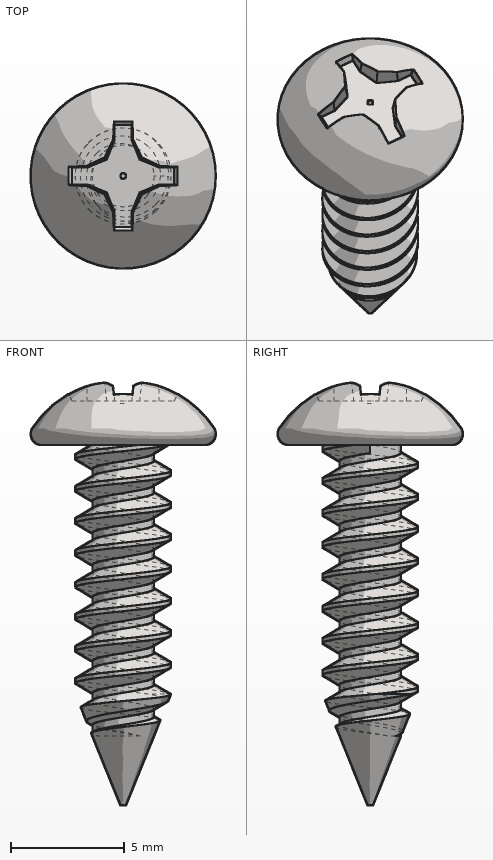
import cadquery as cq
import math

head_radius = 4.09
dome_height = 2.905
rim_edge_height = 0.73
rim_curve = 0.5

recess_floor_height = 1.95
arm_length = 2.25
arm_half_width = 0.375
arm_root = 1.59
web_corner = 0.73
arm_end_taper = math.tan(math.radians(26.5))
side_taper = math.tan(math.radians(6.0))
recess_clearance = 0.1

pip_radius = 0.125
pip_depth = 0.1

shank_length = 15.88
core_radius = 1.36
tip_radius = 0.125
point_slope = 0.405
head_overlap = 0.1

pitch = 25.4 / 18
thread_radius = 2.115
crest_width = 0.2
flank_slope = math.tan(math.radians(30.0))
first_crest_height = -1.22
turns_below_first_crest = 9
root_overlap = 0.1
envelope_clearance = 1.0


def revolved(outline):
    """Turn an outline, drawn as radius and height, about the Z axis."""
    return outline.revolve(360, (0, 0, 0), (0, 1, 0))


def make_head():
    """Domed head with a rounded rim."""
    rim_centre = head_radius - rim_curve
    edge_rise = rim_edge_height - rim_curve
    edge_radius = rim_centre + math.sqrt(rim_curve**2 - edge_rise**2)

    dome_rise = dome_height - rim_edge_height
    dome_curve = (edge_radius**2 + dome_rise**2) / (2 * dome_rise)
    middle_radius = edge_radius / 2
    middle_height = dome_height - dome_curve + math.sqrt(dome_curve**2 - middle_radius**2)

    outline = (
        cq.Workplane("XZ")
        .lineTo(rim_centre, 0)
        .threePointArc((head_radius, rim_curve), (edge_radius, rim_edge_height))
        .threePointArc((middle_radius, middle_height), (0, dome_height))
        .close()
    )
    return revolved(outline)


def recess_outline(rise):
    """Corners of the cross at a rise above the recess floor, quarter by quarter."""
    side_growth = rise * side_taper
    end = arm_length + rise * arm_end_taper
    half_width = arm_half_width + side_growth
    corner = web_corner + side_growth
    quarter = [
        (end, -half_width),
        (end, half_width),
        (arm_root, half_width),
        (corner, corner),
        (half_width, arm_root),
    ]
    points = []
    for index in range(4):
        turn = math.radians(90 * index)
        for x, y in quarter:
            turned_x = x * math.cos(turn) - y * math.sin(turn)
            turned_y = x * math.sin(turn) + y * math.cos(turn)
            points.append((turned_x, turned_y))
    return points


def make_recess():
    """Tapered cross with a flat floor and a pip at its middle."""
    depth = dome_height + recess_clearance - recess_floor_height
    cross = (
        cq.Workplane("XY", origin=(0, 0, recess_floor_height))
        .polyline(recess_outline(0))
        .close()
        .workplane(offset=depth)
        .polyline(recess_outline(depth))
        .close()
        .loft(ruled=True)
    )
    pip = (
        cq.Workplane("XY", origin=(0, 0, recess_floor_height - pip_depth))
        .circle(pip_radius)
        .extrude(pip_depth + recess_clearance)
    )
    return cross.union(pip)


def make_core():
    """Straight core, with no point yet."""
    return (
        cq.Workplane("XY", origin=(0, 0, -shank_length))
        .circle(core_radius)
        .extrude(shank_length + head_overlap)
    )


def make_thread():
    """Trapezoidal ridge wound about the core, starting inside the head."""
    inner_radius = core_radius - root_overlap
    half_crest = crest_width / 2
    half_base = half_crest + (thread_radius - inner_radius) * flank_slope
    turns = turns_below_first_crest + 1
    start = first_crest_height - turns_below_first_crest * pitch

    path = cq.Wire.makeHelix(pitch, turns * pitch, inner_radius, center=cq.Vector(0, 0, start))
    profile = (
        cq.Workplane("XZ", origin=(0, 0, start))
        .moveTo(inner_radius, -half_base)
        .lineTo(thread_radius, -half_crest)
        .lineTo(thread_radius, half_crest)
        .lineTo(inner_radius, half_base)
        .close()
    )
    return profile.sweep(cq.Workplane(obj=path), isFrenet=True)


def make_point_envelope():
    """Cone of the point, widened upward into a cylinder that clears the thread."""
    envelope_radius = thread_radius + envelope_clearance
    cone_length = (envelope_radius - tip_radius) / point_slope
    outline = (
        cq.Workplane("XZ")
        .moveTo(0, -shank_length)
        .lineTo(tip_radius, -shank_length)
        .lineTo(envelope_radius, cone_length - shank_length)
        .lineTo(envelope_radius, head_overlap)
        .lineTo(0, head_overlap)
        .close()
    )
    return revolved(outline)


shank = make_core().union(make_thread()).intersect(make_point_envelope())
result = make_head().union(shank).cut(make_recess())